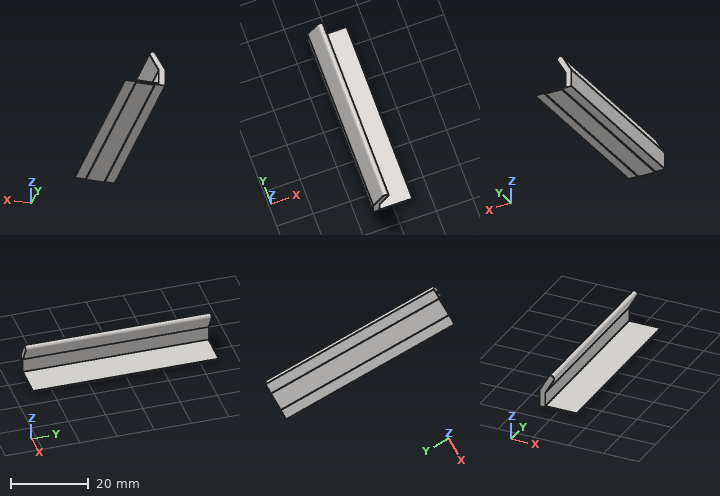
import cadquery as cq
import math

LENGTH = 50.0
TOTAL_WIDTH = 10.7
TOTAL_HEIGHT = 10.0
WALL_THICKNESS = 1.75
BASE_THICKNESS = 0.45
STRIP_THICKNESS = 0.25
STRIP_WIDTH = 5.0
STRIP_END_INSET = 0.02
STRIP_OFFSET = 2.8
BEND_HEIGHT = 5.1
LEAN_ANGLE = math.radians(30)

base_bottom = STRIP_THICKNESS
base_top = base_bottom + BASE_THICKNESS
inner_bend_height = BEND_HEIGHT - WALL_THICKNESS * math.tan(LEAN_ANGLE / 2)

tip_radius = WALL_THICKNESS / 2
tip_center_z = TOTAL_HEIGHT - tip_radius
normal_x = tip_radius * math.cos(LEAN_ANGLE)
normal_z = tip_radius * math.sin(LEAN_ANGLE)
outer_tip_z = tip_center_z + normal_z
outer_tip_x = (outer_tip_z - BEND_HEIGHT) * math.tan(LEAN_ANGLE)
tip_center_x = outer_tip_x + normal_x

outer_tip = (outer_tip_x, outer_tip_z)
tip_end = (
    tip_center_x + tip_radius * math.sin(LEAN_ANGLE),
    tip_center_z + tip_radius * math.cos(LEAN_ANGLE),
)
inner_tip = (tip_center_x + normal_x, tip_center_z - normal_z)


def extrude_along_y(profile, length):
    """Extrude an XZ profile symmetrically about the XZ plane."""
    return profile.extrude(length / 2, both=True)


def make_bracket():
    """Thin base, upright wall and leaning lip with a rounded tip."""
    profile = (
        cq.Workplane("XZ")
        .moveTo(0, base_bottom)
        .lineTo(TOTAL_WIDTH, base_bottom)
        .lineTo(TOTAL_WIDTH, base_top)
        .lineTo(WALL_THICKNESS, base_top)
        .lineTo(WALL_THICKNESS, inner_bend_height)
        .lineTo(*inner_tip)
        .threePointArc(tip_end, outer_tip)
        .lineTo(0, BEND_HEIGHT)
        .close()
    )
    return extrude_along_y(profile, LENGTH)


def make_strip():
    """Shallow strip running along the length under the base."""
    profile = (
        cq.Workplane("XZ")
        .moveTo(STRIP_OFFSET, 0)
        .lineTo(STRIP_OFFSET + STRIP_WIDTH, 0)
        .lineTo(STRIP_OFFSET + STRIP_WIDTH, base_bottom)
        .lineTo(STRIP_OFFSET, base_bottom)
        .close()
    )
    return extrude_along_y(profile, LENGTH - 2 * STRIP_END_INSET)


result = make_bracket().union(make_strip())